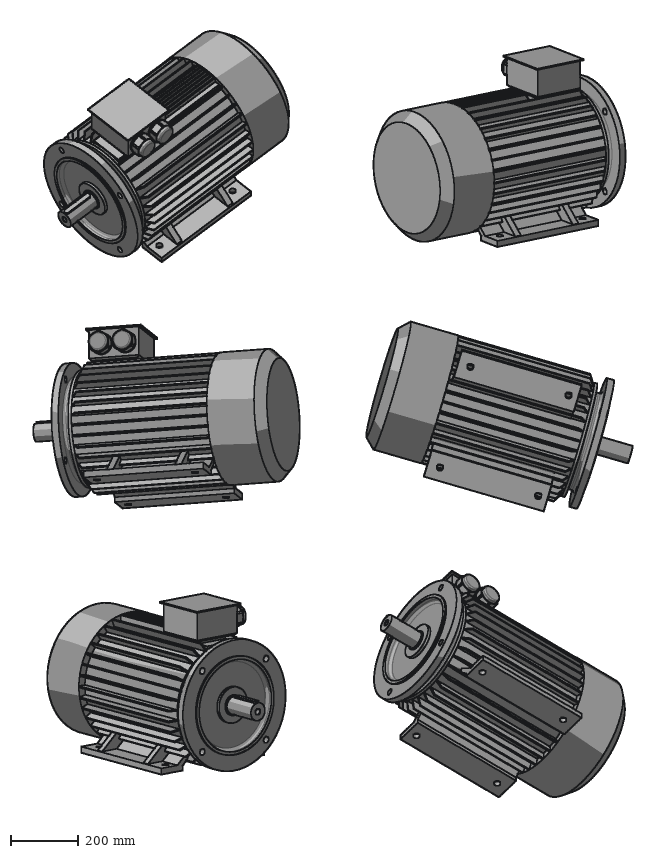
import cadquery as cq
import math


total_length = 770.0
total_height = 486.0

shaft_dia = 55.0
shaft_length = 105.0
shaft_seat_depth = 38.5
key_width = 16.0
key_top = 31.5
key_depth = 9.0
key_end_gap = 1.5
centre_hole_dia = 17.0
centre_hole_mouth_dia = 19.0
centre_hole_depth = 23.0

spigot_dia = 300.0
spigot_height = 5.0
flange_dia = 400.0
flange_thickness = 21.5
flange_back = spigot_height + flange_thickness
shield_ring_dia = 352.0
shield_ring_front = 49.0
shield_ring_back = 59.0
neck_fillet = 8.5
recess_mouth_dia = 280.0
recess_floor_dia = 262.0
recess_depth = 19.0
hub_dia = 110.0
hub_height = 9.0
seal_dia = 62.0
seal_height = 4.0
flange_hole_dia = 19.0
flange_hole_circle = 350.0
flange_hole_count = 4
flange_hole_start_angle = 45

frame_dia = 350.0
frame_front = 62.0
cowl_front = 487.5
fin_tip_radius = 198.0
fin_thickness = 5.0
fin_step = 10
fin_chamfer_length = 15.0
fin_embed = 8.0

saddle_width = 105.5
saddle_top = 177.0
saddle_front = 68.0
top_fin_thickness = 4.0
top_fin_pitch = 11.5
top_fins_each_side = 3
top_fin_front = 241.0

cowl_dia = 397.0
cowl_bevel_start = 634.5
cowl_back = total_length - shaft_length
cowl_bevel_height = 30.0

box_size = 155.5
box_y = 162.0
box_bottom = 189.5
box_bevel = 6.0
lid_size = 171.0
lid_thickness = 4.0
lid_top = total_height - flange_dia / 2

gland_pitch = 75.0
gland_z = 236.5
collar_dia = 62.0
collar_length = 6.0
nut_flats = 61.0
nut_corner_dia = 67.0
nut_length = 26.0
cap_dia = 58.0
cap_length = 14.0
cap_fillet = 5.0

foot_front = 105.0
foot_back = 477.0
foot_outer = 199.5
foot_inner = 116.0
foot_bottom = -flange_dia / 2
foot_thickness = 19.0
foot_top = foot_bottom + foot_thickness
foot_hole_dia = 19.0
foot_hole_x = 159.5
foot_hole_front = 134.0
foot_hole_spacing = 305.0
foot_inner_height = 15.0
web_foot_x = 137.0
web_root_top = (-95.5, -144.0)
web_root_bottom = (-81.0, -149.0)
gusset_foot_x = 193.0
gusset_root = (-115.5, -112.5)
gusset_thickness = 21.0
gusset_fronts = (174.0, 386.0)


def cylinder(diameter, y_start, y_end):
    """Solid cylinder on the shaft axis between two Y positions."""
    disc = cq.Workplane("XZ", origin=(0, y_start, 0)).circle(diameter / 2)
    return disc.extrude(y_start - y_end)


def block(x_size, y_start, y_end, z_start, z_end):
    """Box centred on X = 0."""
    size = (x_size, y_end - y_start, z_end - z_start)
    corner = (-x_size / 2, y_start, z_start)
    return cq.Workplane("XY", origin=corner).box(*size, centered=False)


def turned(profile):
    """Revolve an (radius, y) profile drawn in the XY plane about the Y axis."""
    return profile.close().revolve(360, (0, 0, 0), (0, 1, 0))


def make_shield():
    """Flange, grooved neck and ring, with the recess, hub and bolt holes."""
    neck_radius = spigot_dia / 2
    flare_radius = neck_radius + neck_fillet
    arc_mid = neck_fillet * (1 - math.sqrt(0.5))
    profile = (
        cq.Workplane("XY")
        .moveTo(0, 0)
        .lineTo(spigot_dia / 2, 0)
        .lineTo(spigot_dia / 2, spigot_height)
        .lineTo(flange_dia / 2, spigot_height)
        .lineTo(flange_dia / 2, flange_back)
        .lineTo(flare_radius, flange_back)
        .threePointArc(
            (neck_radius + arc_mid, flange_back + arc_mid),
            (neck_radius, flange_back + neck_fillet),
        )
        .lineTo(neck_radius, shield_ring_front - neck_fillet)
        .threePointArc(
            (neck_radius + arc_mid, shield_ring_front - arc_mid),
            (flare_radius, shield_ring_front),
        )
        .lineTo(shield_ring_dia / 2, shield_ring_front)
        .lineTo(shield_ring_dia / 2, shield_ring_back)
        .lineTo(0, shield_ring_back)
    )
    shield = turned(profile)

    wall_radius = (recess_mouth_dia - recess_floor_dia) / 2
    recess = cylinder(recess_mouth_dia, 0, recess_depth)
    recess = recess.faces(">Y").edges().fillet(wall_radius)
    shield = shield.cut(recess)

    hub_face = recess_depth - hub_height
    shield = shield.union(cylinder(hub_dia, hub_face, recess_depth))
    shield = shield.union(cylinder(seal_dia, hub_face - seal_height, recess_depth))

    holes = (
        cq.Workplane("XZ")
        .polarArray(flange_hole_circle / 2, flange_hole_start_angle, 360, flange_hole_count)
        .circle(flange_hole_dia / 2)
        .extrude(-flange_back)
    )
    return shield.cut(holes)


def make_shaft():
    """Shaft end with its key and a pointed centre hole."""
    tip = -shaft_length
    shaft = cylinder(shaft_dia, tip, shaft_seat_depth)
    key_length = shaft_length - key_end_gap
    key = (
        cq.Workplane("XY", origin=(0, -key_length / 2, key_top - key_depth))
        .slot2D(key_length, key_width, 90)
        .extrude(key_depth)
    )
    mouth = centre_hole_mouth_dia / 2
    bore = centre_hole_dia / 2
    hole = turned(
        cq.Workplane("XY")
        .moveTo(0, tip)
        .lineTo(mouth, tip)
        .lineTo(bore, tip + mouth - bore)
        .lineTo(bore, tip + centre_hole_depth)
        .lineTo(0, tip + centre_hole_depth + bore)
    )
    return shaft.union(key).cut(hole)


def make_frame():
    """Frame barrel, radial fins, saddle and the upright fins on the saddle."""
    frame_radius = frame_dia / 2
    envelope = turned(
        cq.Workplane("XY")
        .moveTo(0, frame_front)
        .lineTo(frame_radius, frame_front)
        .lineTo(fin_tip_radius, frame_front + fin_chamfer_length)
        .lineTo(fin_tip_radius, cowl_front)
        .lineTo(0, cowl_front)
    )

    fin_root = frame_radius - fin_embed
    radial_fin = block(fin_thickness, frame_front, cowl_front, fin_root, flange_dia / 2)
    saddle = block(saddle_width, saddle_front, cowl_front, 0, saddle_top)
    fins = radial_fin.rotate((0, 0, 0), (0, 1, 0), 2 * fin_step)
    for angle in range(3 * fin_step, 360 - fin_step, fin_step):
        fins = fins.union(radial_fin.rotate((0, 0, 0), (0, 1, 0), angle))

    upright_fin = (
        cq.Workplane("YZ", origin=(-top_fin_thickness / 2, 0, 0))
        .moveTo(top_fin_front, fin_root)
        .lineTo(top_fin_front, saddle_top)
        .lineTo(top_fin_front + fin_chamfer_length, fin_tip_radius)
        .lineTo(cowl_front, fin_tip_radius)
        .lineTo(cowl_front, fin_root)
        .close()
        .extrude(top_fin_thickness)
    )
    for index in range(-top_fins_each_side, top_fins_each_side + 1):
        fins = fins.union(upright_fin.translate((index * top_fin_pitch, 0, 0)))

    barrel = cylinder(frame_dia, shield_ring_back, cowl_front)
    return barrel.union(saddle).union(fins.intersect(envelope))


def make_cowl():
    """Fan cowl with a bevelled rear edge."""
    cowl_radius = cowl_dia / 2
    return turned(
        cq.Workplane("XY")
        .moveTo(0, cowl_front)
        .lineTo(cowl_radius, cowl_front)
        .lineTo(cowl_radius, cowl_bevel_start)
        .lineTo(cowl_radius - cowl_bevel_height, cowl_back)
        .lineTo(0, cowl_back)
    )


def make_terminal_box():
    """Box on a pedestal with an overhanging lid."""
    half_box = box_size / 2
    half_lid = lid_size / 2
    half_pedestal = saddle_width / 2
    lid_bottom = lid_top - lid_thickness
    box = block(box_size, box_y - half_box, box_y + half_box, box_bottom, lid_bottom)
    box = box.faces("<Z").edges().chamfer(box_bevel)
    pedestal = block(
        saddle_width, box_y - half_pedestal, box_y + half_pedestal, 0, box_bottom
    )
    lid = block(lid_size, box_y - half_lid, box_y + half_lid, lid_bottom, lid_top)
    return box.union(pedestal).union(lid)


def make_gland(gland_y):
    """Cable gland on the +X wall: collar, hexagon nut with rounded corners, cap."""
    def wall_plane(x):
        return cq.Workplane("YZ", origin=(x, gland_y, gland_z))

    nut_start = box_size / 2 + collar_length
    nut_end = nut_start + nut_length
    collar = wall_plane(box_size / 2).circle(collar_dia / 2).extrude(collar_length)
    hexagon = (
        wall_plane(nut_start)
        .transformed(rotate=(0, 0, 90))
        .polygon(6, nut_flats / math.cos(math.pi / 6))
        .extrude(nut_length)
    )
    nut = hexagon.intersect(
        wall_plane(nut_start).circle(nut_corner_dia / 2).extrude(nut_length)
    )
    cap = wall_plane(nut_end).circle(cap_dia / 2).extrude(cap_length)
    cap = cap.faces(">X").edges().fillet(cap_fillet)
    return collar.union(nut).union(cap)


def make_foot():
    """Foot on the -X side: bolted plate, sloping web and two gussets."""
    foot = (
        cq.Workplane("XZ", origin=(0, foot_front, 0))
        .polyline([
            (-foot_outer, foot_bottom),
            (-foot_inner, foot_bottom),
            (-foot_inner, foot_bottom + foot_inner_height),
            web_root_bottom,
            web_root_top,
            (-web_foot_x, foot_top),
            (-foot_outer, foot_top),
        ])
        .close()
        .extrude(foot_front - foot_back)
    )
    for gusset_front in gusset_fronts:
        gusset = (
            cq.Workplane("XZ", origin=(0, gusset_front, 0))
            .polyline([
                (-gusset_foot_x, foot_top),
                gusset_root,
                web_root_top,
                (-web_foot_x, foot_top),
            ])
            .close()
            .extrude(-gusset_thickness)
        )
        foot = foot.union(gusset)
    holes = (
        cq.Workplane("XY", origin=(0, 0, foot_bottom))
        .pushPoints([
            (-foot_hole_x, foot_hole_front),
            (-foot_hole_x, foot_hole_front + foot_hole_spacing),
        ])
        .circle(foot_hole_dia / 2)
        .extrude(foot_thickness)
    )
    return foot.cut(holes)


left_foot = make_foot()
right_foot = left_foot.mirror("YZ")

result = make_frame().union(make_shield()).union(make_shaft()).union(make_cowl())
result = result.union(make_terminal_box())
for side in (-1, 1):
    result = result.union(make_gland(box_y + side * gland_pitch / 2))
result = result.union(left_foot).union(right_foot)